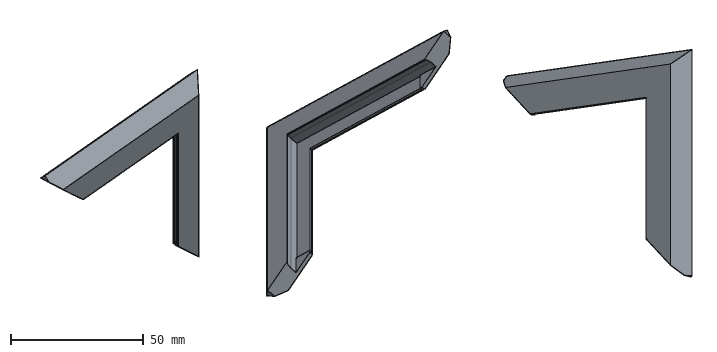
import cadquery as cq

arm_length = 87.0
thickness = 8.0

ridge_x = 2.2
back_bevel = thickness - ridge_x

catch_depth = 11.4
catch_width = 0.5
catch_slope = 0.3
undercut_end_x = 3.1
rebate_depth = 10.9

lip_depth = 17.6
pad_x = 6.3
seat_x = 6.8
seat_end = 70.7
seat_bevel_width = 0.5
seat_bevel_depth = 0.4
lip_back_chamfer = 0.3

half_length = arm_length / 2
slope_end_x = catch_width + catch_slope
slope_end_depth = catch_depth - catch_slope
miter_start = ridge_x
miter_reach = lip_depth - miter_start

FULL_LIP = [
    (pad_x, rebate_depth),
    (pad_x, lip_depth),
]
LOWERED_LIP = [
    (seat_x, rebate_depth),
    (seat_x, lip_depth - seat_bevel_depth),
    (seat_x + seat_bevel_width, lip_depth),
]


def arm_section(lip_points):
    """Closed (X, depth) outline of an arm with the given lip front."""
    return [
        (ridge_x, 0),
        (0, ridge_x),
        (0, catch_depth),
        (catch_width, catch_depth),
        (slope_end_x, slope_end_depth),
        (undercut_end_x, rebate_depth),
        *lip_points,
        (thickness - lip_back_chamfer, lip_depth),
        (thickness, lip_depth - lip_back_chamfer),
        (thickness, back_bevel),
    ]


def top_bar(lip_points, start, end):
    """Top arm stretch between two distances from the corner."""
    outline = [(x, half_length - depth) for x, depth in arm_section(lip_points)]
    bar = cq.Workplane("XZ").polyline(outline).close().extrude(end - start)
    return bar.translate((0, half_length - start, 0))


def miter_blank():
    """Top arm silhouette: 45 degrees at the corner and at the free end."""
    outline = [
        (half_length, half_length),
        (half_length - lip_depth, half_length - lip_depth),
        (miter_reach - half_length, half_length - lip_depth),
        (-half_length, half_length - miter_start),
        (-half_length, half_length),
    ]
    return cq.Workplane("YZ").polyline(outline).close().extrude(thickness)


seat_stretch = top_bar(LOWERED_LIP, 0, seat_end)
pad_stretch = top_bar(FULL_LIP, seat_end, arm_length)
top_arm = seat_stretch.union(pad_stretch).intersect(miter_blank())

side_arm = top_arm.mirror("XY").rotate((0, 0, 0), (1, 0, 0), 90)

result = top_arm.union(side_arm)